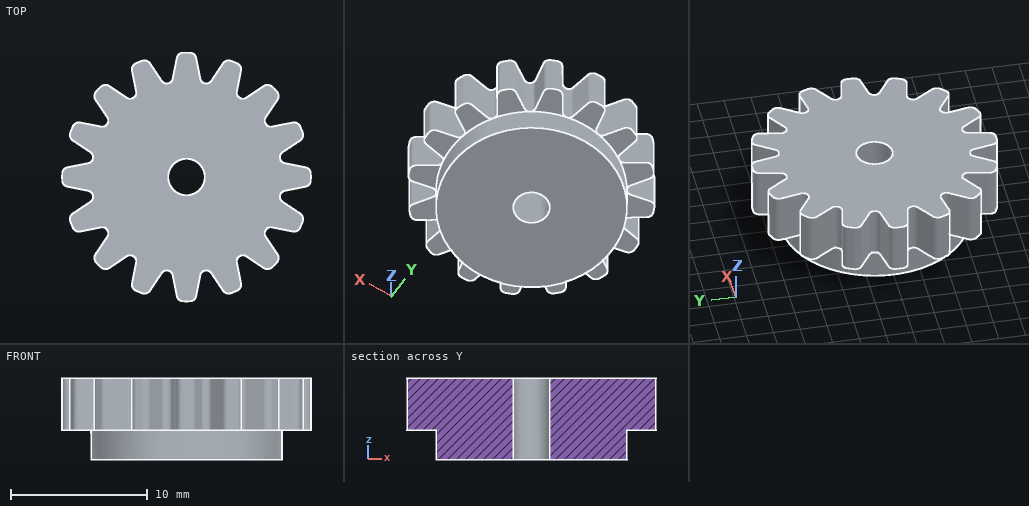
import cadquery as cq
import math

TOOTH_COUNT = 16
TIP_RADIUS = 9.105
ROOT_RADIUS = 6.985
FLANK_ANGLE = math.radians(11.25)
FLANK_OFFSET = 2.40
TIP_FILLET = 0.5
ROOT_FILLET = 0.42
GEAR_THICKNESS = 3.81
HUB_RADIUS = ROOT_RADIUS
HUB_HEIGHT = 2.16
BORE_DIAMETER = 2.66

TOTAL_HEIGHT = HUB_HEIGHT + GEAR_THICKNESS
TOOTH_PITCH = 2 * math.pi / TOOTH_COUNT


def polar(radius, angle):
    return (radius * math.cos(angle), radius * math.sin(angle))


def shifted(point, distance, angle):
    step = polar(distance, angle)
    return (point[0] + step[0], point[1] + step[1])


def rotated(point, angle):
    return polar(math.hypot(*point), math.atan2(point[1], point[0]) + angle)


def mirrored(point):
    return (point[0], -point[1])


FLANK_NORMAL = math.pi / 2 - FLANK_ANGLE

TIP_CENTRE_RADIUS = TIP_RADIUS - TIP_FILLET
TIP_CENTRE_ANGLE = FLANK_NORMAL - math.acos((FLANK_OFFSET - TIP_FILLET) / TIP_CENTRE_RADIUS)
TIP_CENTRE = polar(TIP_CENTRE_RADIUS, TIP_CENTRE_ANGLE)
TIP_END = polar(TIP_RADIUS, TIP_CENTRE_ANGLE)
TIP_FILLET_MIDDLE = shifted(TIP_CENTRE, TIP_FILLET, (TIP_CENTRE_ANGLE + FLANK_NORMAL) / 2)
FLANK_TOP = shifted(TIP_CENTRE, TIP_FILLET, FLANK_NORMAL)

ROOT_CENTRE_RADIUS = ROOT_RADIUS + ROOT_FILLET
ROOT_CENTRE_ANGLE = FLANK_NORMAL - math.acos((FLANK_OFFSET + ROOT_FILLET) / ROOT_CENTRE_RADIUS)
ROOT_CENTRE = polar(ROOT_CENTRE_RADIUS, ROOT_CENTRE_ANGLE)
FLANK_BOTTOM = shifted(ROOT_CENTRE, -ROOT_FILLET, FLANK_NORMAL)
ROOT_FILLET_MIDDLE = shifted(ROOT_CENTRE, -ROOT_FILLET, (ROOT_CENTRE_ANGLE + FLANK_NORMAL) / 2)
ROOT_START = polar(ROOT_RADIUS, ROOT_CENTRE_ANGLE)
ROOT_MIDDLE = polar(ROOT_RADIUS, TOOTH_PITCH / 2)


def add_tooth(outline, tooth_angle):
    """Add one tooth and the root after it, counter-clockwise from the foot of its first root fillet."""

    def placed(point):
        return rotated(point, tooth_angle)

    next_root_end = rotated(mirrored(ROOT_START), TOOTH_PITCH)
    return (
        outline.threePointArc(placed(mirrored(ROOT_FILLET_MIDDLE)), placed(mirrored(FLANK_BOTTOM)))
        .lineTo(*placed(mirrored(FLANK_TOP)))
        .threePointArc(placed(mirrored(TIP_FILLET_MIDDLE)), placed(mirrored(TIP_END)))
        .threePointArc(placed((TIP_RADIUS, 0)), placed(TIP_END))
        .threePointArc(placed(TIP_FILLET_MIDDLE), placed(FLANK_TOP))
        .lineTo(*placed(FLANK_BOTTOM))
        .threePointArc(placed(ROOT_FILLET_MIDDLE), placed(ROOT_START))
        .threePointArc(placed(ROOT_MIDDLE), placed(next_root_end))
    )


def make_gear():
    outline = cq.Workplane("XY").workplane(offset=HUB_HEIGHT)
    outline = outline.moveTo(*mirrored(ROOT_START))
    for index in range(TOOTH_COUNT):
        outline = add_tooth(outline, index * TOOTH_PITCH)
    return outline.close().extrude(GEAR_THICKNESS)


def make_hub():
    return cq.Workplane("XY").circle(HUB_RADIUS).extrude(HUB_HEIGHT)


def make_bore():
    return cq.Workplane("XY").circle(BORE_DIAMETER / 2).extrude(TOTAL_HEIGHT)


result = make_gear().union(make_hub()).cut(make_bore())